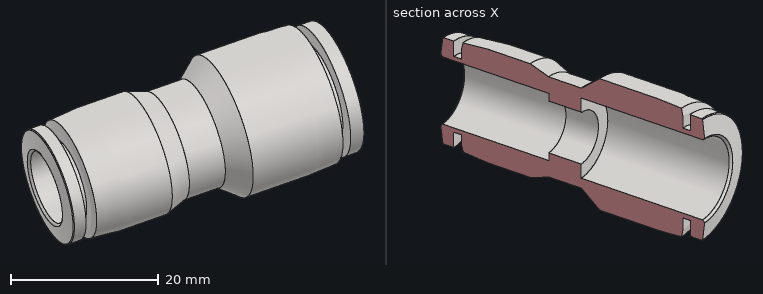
import cadquery as cq

length = 43.9
outer_diameter = 20.5

waist_radius = 7.8
waist_start = 18.0
waist_end = 23.4
passage_radius = 4.0

small_radius = 8.85
small_shoulder = 14.93
small_taper_start = 7.9
small_band_start = 4.85
small_band_radius = 8.6
small_end = 3.45
small_end_radius = 8.5
small_end_flat_radius = 7.5

large_radius = outer_diameter / 2
large_shoulder = 26.43
large_taper_start = 35.9
large_band_start = 38.85
large_band_radius = 10.1
large_end = 40.3
large_end_radius = 10.0
large_end_flat_radius = 8.8

body_end_rise = 0.25

small_neck_radius = 5.93
small_flange_radius = 8.3
small_flange_back = 2.25
small_socket_radius = 5.2
large_neck_radius = 7.02
large_flange_radius = 9.5
large_flange_back = length - 2.45
large_socket_radius = 6.2
face_rise = 0.35
flange_edge = 0.15
mouth_edge = 0.35


def turned(points):
    """Revolve an outline of (radius, Y) points about the Y axis."""
    outline = cq.Workplane("YZ").polyline([(y, radius) for radius, y in points]).close()
    return outline.revolve(360, (0, 0, 0), (1, 0, 0))


def make_body():
    return turned([
        (0, small_end),
        (small_end_flat_radius, small_end),
        (small_end_radius, small_end + body_end_rise),
        (small_band_radius, small_band_start),
        (small_radius, small_taper_start),
        (small_radius, small_shoulder),
        (waist_radius, waist_start),
        (waist_radius, waist_end),
        (large_radius, large_shoulder),
        (large_radius, large_taper_start),
        (large_band_radius, large_band_start),
        (large_end_radius, large_end - body_end_rise),
        (large_end_flat_radius, large_end),
        (0, large_end),
    ])


def make_collar(tip, flange_back, body_end, neck_radius, flange_radius, socket_radius):
    inward = 1 if body_end > tip else -1
    rim = tip + inward * face_rise
    return turned([
        (0, body_end),
        (neck_radius, body_end),
        (neck_radius, flange_back),
        (flange_radius, flange_back),
        (flange_radius, rim + inward * flange_edge),
        (flange_radius - flange_edge, rim),
        (socket_radius + mouth_edge, tip),
        (0, tip),
    ])


def make_socket(tip, floor, radius):
    """Tube socket with a bevelled mouth, to be cut from one end."""
    inward = 1 if floor > tip else -1
    return turned([
        (0, tip),
        (radius + mouth_edge, tip),
        (radius, tip + inward * mouth_edge),
        (radius, floor),
        (0, floor),
    ])


small_collar = make_collar(
    0, small_flange_back, small_end, small_neck_radius, small_flange_radius, small_socket_radius
)
large_collar = make_collar(
    length, large_flange_back, large_end, large_neck_radius, large_flange_radius, large_socket_radius
)
passage = turned([(0, 0), (passage_radius, 0), (passage_radius, length), (0, length)])

result = (
    make_body()
    .union(small_collar)
    .union(large_collar)
    .cut(make_socket(0, waist_start, small_socket_radius))
    .cut(make_socket(length, waist_end, large_socket_radius))
    .cut(passage)
)